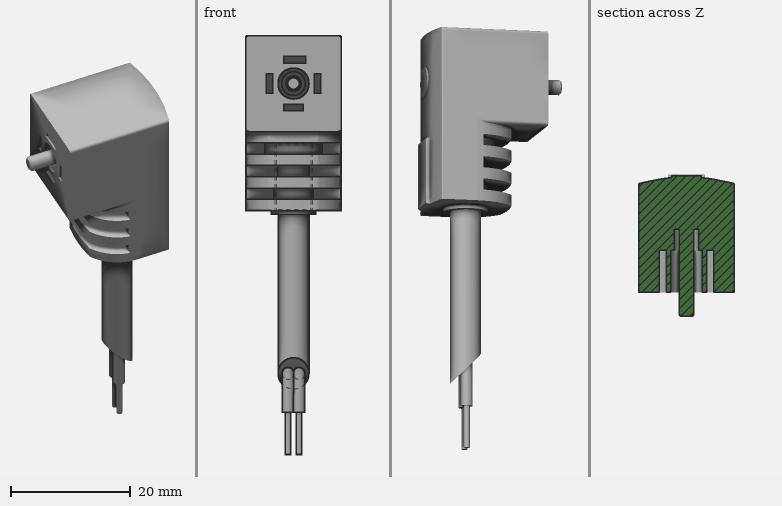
import cadquery as cq
import math


top_z = 70
width = 16.0
half_width = width / 2
head_height = 16.0
head_bottom_z = top_z - head_height
back_y = 19.3
back_side_y = 18.2
edge_radius = 0.5
back_edge_radius = 0.3

fin_count = 4
layer_height = 1.9
stem_bottom_z = head_bottom_z - (2 * fin_count - 1) * layer_height
cable_y = 12.3
fin_front_half_width = 4.05
fin_front_y = 5.05
fin_corner_radius = 1.0
groove_wall_y = 11.05
groove_core_radii = (5.0, 2.95, 3.5)

pin_z = top_z - head_height / 2
pin_diameter = 2.5
pin_length = 4.0
pin_chamfer = 0.3
bore_diameter = 5.2
bore_depth = 7
inner_bore_diameter = 4.0
inner_bore_depth = 10.5
slot_offset = 4.0
slot_length = 3.3
key_slot_length = 3.7
slot_width = 1.1
slot_depth = 7

plate_width = 6.2
plate_top_z = 52.0
plate_y = back_y + 0.5
plate_chamfer = 0.2
screw_diameter = 5.0
screw_y = back_y + 0.2

collar_diameter = 7.5
collar_height = 0.55
cable_diameter = 5.2
cable_cut_z = 13.6
insulation_diameter = 1.95
insulation_bottom_z = 7.1
conductor_diameter = 1.0
wire_offset = 0.9
root_overlap = 0.7


def box(x0, x1, y0, y1, z0, z1):
    return cq.Workplane("XY").box(x1 - x0, y1 - y0, z1 - z0, centered=False).translate((x0, y0, z0))


def rod_z(diameter, x, y, z0, z1):
    return cq.Workplane("XY", origin=(x, y, z0)).circle(diameter / 2).extrude(z1 - z0)


def rod_y(diameter, y0, y1):
    """Cylinder along Y on the pin axis."""
    return cq.Workplane("XZ", origin=(0, y0, pin_z)).circle(diameter / 2).extrude(y0 - y1)


def curved_back_block(front_y, z0, z1):
    """Block of the full width whose back bulges outward."""
    return (
        cq.Workplane("XY", origin=(0, 0, z0))
        .moveTo(-half_width, front_y)
        .lineTo(half_width, front_y)
        .lineTo(half_width, back_side_y)
        .threePointArc((0, back_y), (-half_width, back_side_y))
        .close()
        .extrude(z1 - z0)
        .edges("|Z")
        .edges(">Y")
        .fillet(back_edge_radius)
    )


def make_head():
    """Curved-back block trimmed to a bar with rounded lengthwise edges."""
    rounded_bar = box(-half_width, half_width, 0, back_y, head_bottom_z, top_z)
    rounded_bar = rounded_bar.edges("|Y").fillet(edge_radius)
    return curved_back_block(0, head_bottom_z, top_z).intersect(rounded_bar)


def make_fin_block():
    """Round-flanked block with a shallow front arc, as tall as all fins together."""
    corner_y = cable_y - math.sqrt(half_width**2 - fin_front_half_width**2)
    flank = half_width * math.sqrt(0.5)
    return (
        cq.Workplane("XY", origin=(0, 0, stem_bottom_z))
        .moveTo(-half_width, cable_y)
        .threePointArc((-flank, cable_y - flank), (-fin_front_half_width, corner_y))
        .threePointArc((0, fin_front_y), (fin_front_half_width, corner_y))
        .threePointArc((flank, cable_y - flank), (half_width, cable_y))
        .close()
        .extrude(head_bottom_z + edge_radius - stem_bottom_z)
        .edges("|Z")
        .edges("<Y")
        .fillet(fin_corner_radius)
    )


def make_groove(index):
    z1 = head_bottom_z - (2 * index + 1) * layer_height
    z0 = z1 - layer_height
    opening = box(-width, width, 0, groove_wall_y, z0, z1)
    return opening.cut(rod_z(2 * groove_core_radii[index], 0, cable_y, z0, z1))


def make_stem():
    stem = curved_back_block(cable_y, stem_bottom_z, head_bottom_z + edge_radius)
    stem = stem.union(make_fin_block())
    for index in range(fin_count - 1):
        stem = stem.cut(make_groove(index))
    return stem


def make_slots():
    half_long = slot_length / 2
    half_wide = slot_width / 2
    z_high = pin_z + slot_offset
    z_low = pin_z - slot_offset
    key_end = key_slot_length - half_long
    slots = box(-half_long, key_end, 0, slot_depth, z_high - half_wide, z_high + half_wide)
    slots = slots.union(box(-half_long, half_long, 0, slot_depth, z_low - half_wide, z_low + half_wide))
    for x in (-slot_offset, slot_offset):
        side_slot = box(x - half_wide, x + half_wide, 0, slot_depth, pin_z - half_long, pin_z + half_long)
        slots = slots.union(side_slot)
    return slots


def make_back_plate():
    plate = box(
        -plate_width / 2, plate_width / 2, back_y - root_overlap, plate_y, stem_bottom_z, plate_top_z
    )
    return plate.faces(">Y").chamfer(plate_chamfer)


def make_cable():
    collar_bottom_z = stem_bottom_z - collar_height
    collar = rod_z(collar_diameter, 0, cable_y, collar_bottom_z, stem_bottom_z + root_overlap)
    jacket = rod_z(cable_diameter, 0, cable_y, 0, stem_bottom_z)
    cut_reach = 2 * cable_cut_z
    below_cut = (
        cq.Workplane("YZ", origin=(-width, 0, 0))
        .moveTo(cable_y - cut_reach, cable_cut_z + cut_reach)
        .lineTo(cable_y + cut_reach, cable_cut_z - cut_reach)
        .lineTo(cable_y - cut_reach, cable_cut_z - cut_reach)
        .close()
        .extrude(2 * width)
    )
    cable = collar.union(jacket.cut(below_cut))
    for x in (-wire_offset, wire_offset):
        cable = cable.union(rod_z(insulation_diameter, x, cable_y, insulation_bottom_z, stem_bottom_z))
        cable = cable.union(rod_z(conductor_diameter, x, cable_y, 0, stem_bottom_z))
    return cable


housing = make_head().union(make_stem())
housing = housing.cut(make_slots())
housing = housing.cut(rod_y(bore_diameter, 0, bore_depth))
housing = housing.cut(rod_y(inner_bore_diameter, 0, inner_bore_depth))

pin = rod_y(pin_diameter, -pin_length, inner_bore_depth + root_overlap).faces("<Y").chamfer(pin_chamfer)
screw = rod_y(screw_diameter, back_y - root_overlap, screw_y)

result = housing.union(pin).union(screw).union(make_back_plate()).union(make_cable())